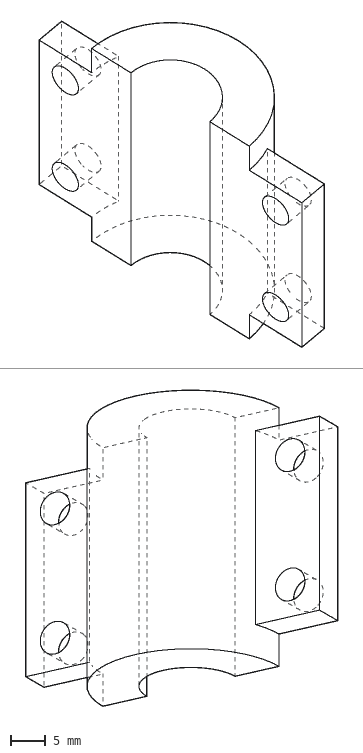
import cadquery as cq

outer_radius = 15
bore_radius = outer_radius / 2
shell_height = 40

flange_span = 50
flange_height = 30
flange_thickness = 5

hole_diameter = 5
hole_spacing_x = 40
hole_spacing_z = 20


def half_cylinder(radius):
    """Half cylinder on the +Y side, centred on the origin in Z."""
    return (
        cq.Workplane("XY")
        .workplane(offset=-shell_height / 2)
        .moveTo(-radius, 0)
        .threePointArc((0, radius), (radius, 0))
        .close()
        .extrude(shell_height)
    )


def flange_plate():
    """Flat plate from the split face towards +Y."""
    return cq.Workplane("XY").box(
        flange_span, flange_thickness, flange_height, centered=(True, False, True)
    )


def bolt_holes():
    """Four pins that cut the flange holes; negative depth runs towards +Y."""
    return (
        cq.Workplane("XZ")
        .rarray(hole_spacing_x, hole_spacing_z, 2, 2)
        .circle(hole_diameter / 2)
        .extrude(-flange_thickness)
    )


result = (
    half_cylinder(outer_radius)
    .union(flange_plate())
    .cut(half_cylinder(bore_radius))
    .cut(bolt_holes())
)